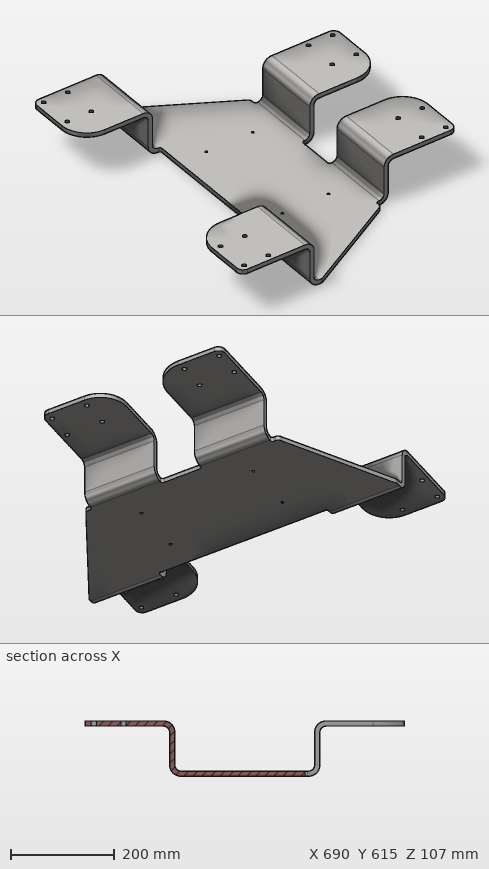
import cadquery as cq


width = 690.0
depth = 615.0
height = 107.0

thickness = 10.5
inner_bend_radius = 12.0
outer_bend_radius = inner_bend_radius + thickness
wall_outer_y = 145.0

base_half_depth = 116.0
base_rear_half_width = 215.0
base_corner_radius = 10.5
notch_radius = 5.0

tab_width = 156.0
rear_tab_outer_x = 201.0
front_tab_outer_x = width / 2
tab_outer_corner_radius = 15.0
tab_inner_corner_radius = 60.0

tab_hole_diameter = 9.0
tab_hole_side_offset = 14.0
tab_hole_end_offset = 16.5
tab_hole_pitch_x = tab_width / 2
tab_hole_pitch_y = 57.0
base_hole_diameter = 5.0
base_hole_pitch_x = 250.5
base_hole_pitch_y = 110.0
base_hole_center_y = 2.0

half_depth = depth / 2
tab_rows = [(1, rear_tab_outer_x), (-1, front_tab_outer_x)]


def folded_sheet():
    """Sheet folded across Y: raised flange, wall, base, wall, raised flange."""
    wall_inner_y = wall_outer_y - thickness
    sheet = (
        cq.Workplane("YZ")
        .polyline([
            (-half_depth, height),
            (-wall_inner_y, height),
            (-wall_inner_y, thickness),
            (wall_inner_y, thickness),
            (wall_inner_y, height),
            (half_depth, height),
            (half_depth, height - thickness),
            (wall_outer_y, height - thickness),
            (wall_outer_y, 0),
            (-wall_outer_y, 0),
            (-wall_outer_y, height - thickness),
            (-half_depth, height - thickness),
        ])
        .close()
        .extrude(width / 2, both=True)
    )

    def bend_edges(sheet, y, z):
        front_edge = cq.selectors.NearestToPointSelector((0, -y, z))
        rear_edge = cq.selectors.NearestToPointSelector((0, y, z))
        return sheet.edges(front_edge + rear_edge)

    sheet = bend_edges(sheet, wall_inner_y, height).fillet(outer_bend_radius)
    sheet = bend_edges(sheet, wall_outer_y, 0).fillet(outer_bend_radius)
    sheet = bend_edges(sheet, wall_inner_y, thickness).fillet(inner_bend_radius)
    return bend_edges(sheet, wall_outer_y, height - thickness).fillet(inner_bend_radius)


def round_corners(outline, corners, radius):
    """Round the vertical edges of the outline that stand at the given XY corners."""
    for x, y in corners:
        edge = cq.selectors.NearestToPointSelector((x, y, height / 2))
        outline = outline.edges("|Z").edges(edge).fillet(radius)
    return outline


def plan_outline():
    """Full-height block with the plan shape of the base plate and its tabs."""
    outline = (
        cq.Workplane("XY")
        .polyline([
            (-width / 2, -base_half_depth),
            (width / 2, -base_half_depth),
            (base_rear_half_width, base_half_depth),
            (-base_rear_half_width, base_half_depth),
        ])
        .close()
        .extrude(height)
    )
    tab_length = half_depth - base_half_depth
    tab_center_y = base_half_depth + tab_length / 2
    for direction, outer_x in tab_rows:
        for side in (-1, 1):
            tab = (
                cq.Workplane("XY")
                .center(side * (outer_x - tab_width / 2), direction * tab_center_y)
                .rect(tab_width, tab_length)
                .extrude(height)
            )
            outline = outline.union(tab)

    for side in (-1, 1):
        for direction, outer_x in tab_rows:
            inner_x = outer_x - tab_width
            tab_end = direction * half_depth
            base_edge = direction * base_half_depth
            outline = round_corners(outline, [(side * outer_x, tab_end)], tab_outer_corner_radius)
            outline = round_corners(outline, [(side * inner_x, tab_end)], tab_inner_corner_radius)
            outline = round_corners(outline, [(side * inner_x, base_edge)], notch_radius)
        base_corners = [
            (side * base_rear_half_width, base_half_depth),
            (side * width / 2, -base_half_depth),
        ]
        outline = round_corners(outline, base_corners, base_corner_radius)
        rear_tab_root = (side * rear_tab_outer_x, base_half_depth)
        outline = round_corners(outline, [rear_tab_root], notch_radius)
    return outline


def hole_grid(center_x, center_y, pitch_x, pitch_y, diameter):
    """Cutters for a two-by-two grid of vertical through holes."""
    return (
        cq.Workplane("XY")
        .center(center_x, center_y)
        .rect(pitch_x, pitch_y, forConstruction=True)
        .vertices()
        .circle(diameter / 2)
        .extrude(height)
    )


result = folded_sheet().intersect(plan_outline())

result = result.cut(
    hole_grid(0, base_hole_center_y, base_hole_pitch_x, base_hole_pitch_y, base_hole_diameter)
)
for direction, outer_x in tab_rows:
    grid_x = outer_x - tab_hole_side_offset - tab_hole_pitch_x / 2
    grid_y = direction * (half_depth - tab_hole_end_offset - tab_hole_pitch_y / 2)
    for side in (-1, 1):
        result = result.cut(
            hole_grid(side * grid_x, grid_y, tab_hole_pitch_x, tab_hole_pitch_y, tab_hole_diameter)
        )